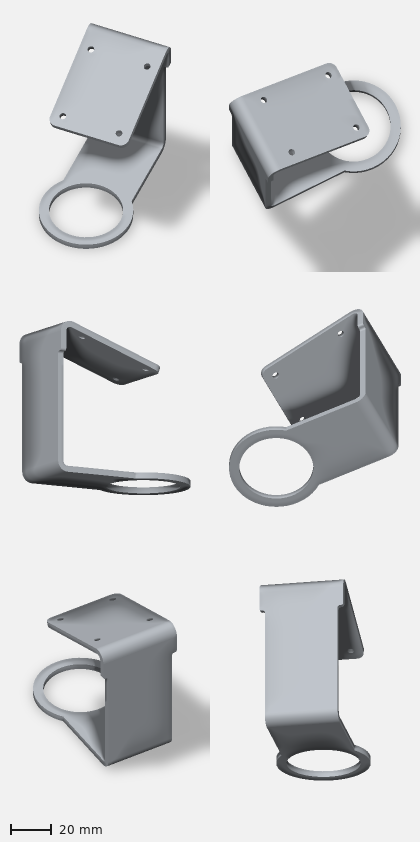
import cadquery as cq
import math

thickness = 3.0
inner_bend_radius = 2.3
outer_bend_radius = inner_bend_radius + thickness

total_depth = 81.25
total_height = 75.0

ring_outer_diameter = 46.5
ring_inner_diameter = 36.5
back_y = total_depth - ring_outer_diameter / 2

strap_width = ring_inner_diameter
shoulder_z = 59.9
shoulder_radius = 1.1

plate_width = 42.0
plate_slope = 20.0
plate_reach = 57.5
plate_corner_radius = 4.0

hole_diameter = 3.3
hole_margin = 6.0
hole_pitch_along = 38.0

slope_sin = math.sin(math.radians(plate_slope))
slope_cos = math.cos(math.radians(plate_slope))
bend_y = back_y - outer_bend_radius
lower_bend_z = outer_bend_radius
upper_bend_z = total_height - outer_bend_radius
plate_start_y = bend_y - outer_bend_radius * slope_sin
plate_start_z = upper_bend_z + outer_bend_radius * slope_cos
plate_tip_y = back_y - plate_reach
plate_length = (plate_start_y - plate_tip_y) / slope_cos
plate_tip_z = plate_start_z - plate_length * slope_sin


def upper_bend_point(radius, angle):
    """Point on the upper bend, with the angle measured from +Y towards +Z."""
    turn = math.radians(angle)
    return bend_y + radius * math.cos(turn), upper_bend_z + radius * math.sin(turn)


def lower_bend_middle(radius):
    offset = radius * math.sqrt(0.5)
    return bend_y + offset, lower_bend_z - offset


def bent_sheet():
    """Base, wall and sloping plate as one bent sheet of the full plate width."""
    bend_end = 90 + plate_slope
    inner_wall_y = back_y - thickness
    return (
        cq.Workplane("YZ")
        .moveTo(0, 0)
        .lineTo(bend_y, 0)
        .threePointArc(lower_bend_middle(outer_bend_radius), (back_y, lower_bend_z))
        .lineTo(back_y, upper_bend_z)
        .threePointArc(
            upper_bend_point(outer_bend_radius, bend_end / 2),
            upper_bend_point(outer_bend_radius, bend_end),
        )
        .lineTo(plate_tip_y, plate_tip_z)
        .lineTo(plate_tip_y + thickness * slope_sin, plate_tip_z - thickness * slope_cos)
        .lineTo(*upper_bend_point(inner_bend_radius, bend_end))
        .threePointArc(
            upper_bend_point(inner_bend_radius, bend_end / 2),
            (inner_wall_y, upper_bend_z),
        )
        .lineTo(inner_wall_y, lower_bend_z)
        .threePointArc(lower_bend_middle(inner_bend_radius), (bend_y, thickness))
        .lineTo(0, thickness)
        .close()
        .extrude(plate_width / 2, both=True)
    )


def strap_envelope():
    """Space that narrows the wall and base to the strap, with rounded shoulders."""
    strap = (
        cq.Workplane("XY")
        .box(strap_width, total_depth, shoulder_z, centered=(True, False, False))
    )
    head = (
        cq.Workplane("XY", origin=(0, 0, shoulder_z))
        .box(plate_width, total_depth, total_height, centered=(True, False, False))
        .edges("|Y and <Z")
        .fillet(shoulder_radius)
    )
    box_half_width = (strap_width + shoulder_radius) / 2
    box_half_height = shoulder_radius / 2
    inner_corners = cq.selectors.BoxSelector(
        (-box_half_width, 0, shoulder_z - box_half_height),
        (box_half_width, total_depth, shoulder_z + box_half_height),
    )
    envelope = strap.union(head)
    envelope = envelope.edges("|Y").edges(inner_corners).fillet(shoulder_radius)

    plate_space = (
        cq.Workplane("XY", origin=(0, 0, lower_bend_z))
        .box(plate_width, bend_y, total_height, centered=(True, False, False))
    )
    return envelope.union(plate_space)


def plate_plane():
    """Plane on the plate's top face: origin at mid front edge, local Y up the slope."""
    return cq.Plane(
        origin=(0, plate_tip_y, plate_tip_z),
        xDir=(1, 0, 0),
        normal=(0, -slope_sin, slope_cos),
    )


def drill_plate(body):
    hole_x = plate_width / 2 - hole_margin
    positions = [
        (side * hole_x, hole_margin + row * hole_pitch_along)
        for side in (-1, 1)
        for row in (0, 1)
    ]
    holes = (
        cq.Workplane(plate_plane())
        .pushPoints(positions)
        .circle(hole_diameter / 2)
        .extrude(-thickness)
    )
    return body.cut(holes)


def rounded_front_corners(body):
    """Round the two free corners of the sloping plate."""
    middle = cq.Vector(0, plate_tip_y, plate_tip_z) - plate_plane().zDir * (thickness / 2)
    half_width = cq.Vector(plate_width / 2, 0, 0)
    for side in (-1, 1):
        corner = middle + half_width * side
        corner_edge = cq.selectors.NearestToPointSelector(corner.toTuple())
        body = body.edges(corner_edge).fillet(plate_corner_radius)
    return body


def add_ring(body):
    disc = cq.Workplane("XY").circle(ring_outer_diameter / 2).extrude(thickness)
    bore = cq.Workplane("XY").circle(ring_inner_diameter / 2).extrude(thickness)
    return body.union(disc).cut(bore)


bracket = bent_sheet().intersect(strap_envelope())
bracket = rounded_front_corners(bracket)
bracket = drill_plate(bracket)
result = add_ring(bracket)